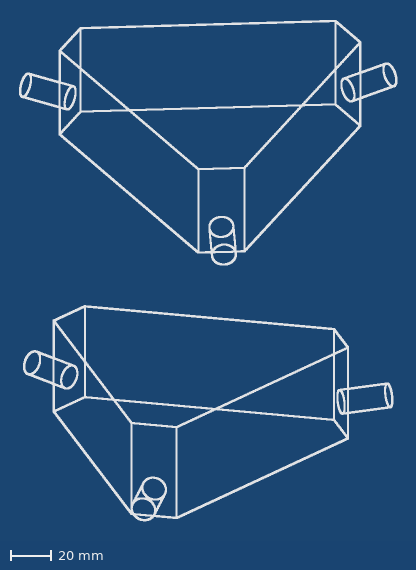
import cadquery as cq
import math

overall_width = 187.9
body_height = 50.0
side_distance = 50.0
pin_diameter = 12.0
pin_length = 25.0
pin_height = 15.0
pin_angles = (90, 210, 330)

pin_tilt = math.radians(30)
pin_radius = pin_diameter / 2
tip_distance = (overall_width / 2 - pin_radius * math.sin(pin_tilt)) / math.cos(pin_tilt)
corner_distance = tip_distance - pin_length

apex_distance = 2 * side_distance
corner_half_width = (apex_distance - corner_distance) * math.tan(pin_tilt)


def polar_point(forward, sideways, angle):
    """Point reached by going forward along a direction, then to its left."""
    a = math.radians(angle)
    return (
        forward * math.cos(a) - sideways * math.sin(a),
        forward * math.sin(a) + sideways * math.cos(a),
    )


def make_body():
    """Triangular block with its three corners cut flat."""
    outline = []
    for angle in pin_angles:
        for sideways in (-corner_half_width, corner_half_width):
            outline.append(polar_point(corner_distance, sideways, angle))
    return cq.Workplane("XY").polyline(outline).close().extrude(body_height)


def make_pin(angle):
    """Round pin standing out from the middle of a corner flat."""
    return (
        cq.Workplane("YZ", origin=(corner_distance, 0, pin_height))
        .circle(pin_radius)
        .extrude(pin_length)
        .rotate((0, 0, 0), (0, 0, 1), angle)
    )


result = make_body()
for pin_angle in pin_angles:
    result = result.union(make_pin(pin_angle))